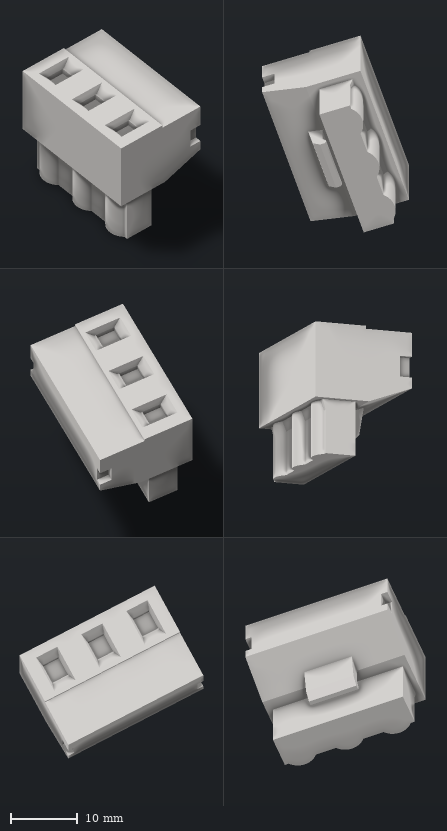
import cadquery as cq


POLE_COUNT = 3
POLE_PITCH = 7.64
POLE_XS = [(i - (POLE_COUNT - 1) / 2) * POLE_PITCH for i in range(POLE_COUNT)]

WIDTH = 22.85
DEPTH = 15.5
HEIGHT = 19.85
HOUSING_BOTTOM = 8.3
STEP_DEPTH = 8.07
STEP_HEIGHT = 0.45
SLOPE_START = 8.6
REAR_EDGE = 10.85

NOTCH_WIDTH = 1.0
NOTCH_DEPTH = 1.92
NOTCH_BOTTOM = 12.53
NOTCH_HEIGHT = 3.18

FUNNEL_WIDTH = 3.6
FUNNEL_FRONT = 1.49
FUNNEL_BACK = 7.35
FUNNEL_DROP = 1.21
WELL_WIDTH = 2.72
WELL_FRONT = 2.7
WELL_BACK = 5.78
WELL_DROP = 0.94
LEDGE_BACK = 6.05

PLUG_WIDTH = 20.9
PLUG_FRONT = 2.0
PLUG_BACK = 6.8
RAMP_START = 6.68
RAMP_FRONT = 1.55
BUMP_WIDTH = 4.41
BUMP_FRONT = 0.98

HOOK_WIDTH = POLE_PITCH
HOOK_REAR_TOP = (10.8, 9.15)
HOOK_REAR_BEND = (10.05, 4.87)
HOOK_TIP_REAR = (8.92, 3.73)
HOOK_TIP_FRONT = (8.25, 3.73)
HOOK_NOSE_LOW = (7.98, 4.14)
HOOK_NOSE_HIGH = (7.98, 4.57)
HOOK_NECK_LOW = (8.55, 5.35)
HOOK_NECK_HIGH = (8.55, 8.07)
HOOK_FRONT_TOP = (8.32, HOUSING_BOTTOM)
HOOK_ROOT = 0.45


def extrude_side_profile(points, width):
    """Extrude a closed (Y, Z) outline by width, centred on X = 0."""
    return cq.Workplane("YZ").polyline(points).close().extrude(width / 2, both=True)


def make_housing():
    rear_top = HEIGHT - STEP_HEIGHT
    return extrude_side_profile(
        [
            (0, HOUSING_BOTTOM),
            (SLOPE_START, HOUSING_BOTTOM),
            (DEPTH, REAR_EDGE),
            (DEPTH, rear_top),
            (STEP_DEPTH, rear_top),
            (STEP_DEPTH, HEIGHT),
            (0, HEIGHT),
        ],
        WIDTH,
    )


def make_plug_bar():
    return extrude_side_profile(
        [
            (PLUG_FRONT, 0),
            (PLUG_BACK, 0),
            (PLUG_BACK, HOUSING_BOTTOM),
            (RAMP_FRONT, HOUSING_BOTTOM),
            (PLUG_FRONT, RAMP_START),
        ],
        PLUG_WIDTH,
    )


def make_bump(x):
    """Rounded rib on the plug front, closed off inside the plug bar."""
    half = BUMP_WIDTH / 2
    return (
        cq.Workplane("XY")
        .moveTo(x - half, PLUG_BACK)
        .lineTo(x - half, PLUG_FRONT)
        .threePointArc((x, BUMP_FRONT), (x + half, PLUG_FRONT))
        .lineTo(x + half, PLUG_BACK)
        .close()
        .extrude(HOUSING_BOTTOM)
    )


def make_hook():
    root_z = HOOK_REAR_TOP[1] + HOOK_ROOT
    return extrude_side_profile(
        [
            HOOK_REAR_TOP,
            HOOK_REAR_BEND,
            HOOK_TIP_REAR,
            HOOK_TIP_FRONT,
            HOOK_NOSE_LOW,
            HOOK_NOSE_HIGH,
            HOOK_NECK_LOW,
            HOOK_NECK_HIGH,
            HOOK_FRONT_TOP,
            (HOOK_FRONT_TOP[0], root_z),
            (HOOK_REAR_TOP[0], root_z),
        ],
        HOOK_WIDTH,
    )


def make_notch(side):
    """Rear corner notch; side is -1 for the -X end and +1 for the +X end."""
    center_x = side * (WIDTH - NOTCH_WIDTH) / 2
    return (
        cq.Workplane("XY", origin=(center_x, DEPTH - NOTCH_DEPTH / 2, NOTCH_BOTTOM))
        .rect(NOTCH_WIDTH, NOTCH_DEPTH)
        .extrude(NOTCH_HEIGHT)
    )


def make_wire_pocket(x):
    funnel_bottom = HEIGHT - FUNNEL_DROP
    funnel = (
        cq.Workplane("XY", origin=(x, 0, HEIGHT))
        .center(0, (FUNNEL_FRONT + FUNNEL_BACK) / 2)
        .rect(FUNNEL_WIDTH, FUNNEL_BACK - FUNNEL_FRONT)
        .workplane(offset=-FUNNEL_DROP, origin=(x, (WELL_FRONT + LEDGE_BACK) / 2, HEIGHT))
        .rect(WELL_WIDTH, LEDGE_BACK - WELL_FRONT)
        .loft(ruled=True)
    )
    well = (
        cq.Workplane("XY", origin=(x, (WELL_FRONT + WELL_BACK) / 2, funnel_bottom))
        .rect(WELL_WIDTH, WELL_BACK - WELL_FRONT)
        .extrude(-WELL_DROP)
    )
    return funnel.union(well)


result = make_housing().union(make_plug_bar()).union(make_hook())
for pole_x in POLE_XS:
    result = result.union(make_bump(pole_x))
    result = result.cut(make_wire_pocket(pole_x))
for end in (-1, 1):
    result = result.cut(make_notch(end))